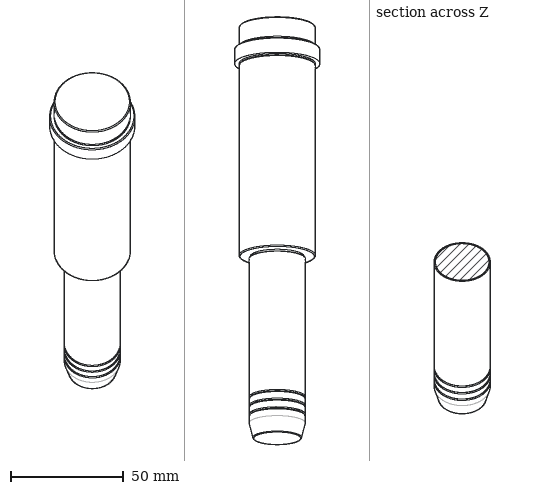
import cadquery as cq

total_length = 190.0
shoulder_height = 84.0
head_length = 10.0
collar_thickness = 7.0
collar_top = total_length - head_length
collar_bottom = collar_top - collar_thickness

collar_radius = 38.0 / 2
body_radius = 34.0 / 2
shank_radius = 25.0 / 2
nose_radius = 10.8

edge_chamfer = 0.5

nose_height = 7.0
nose_chamfer = 0.4

groove_width = 1.0
groove_depth = 0.4
lube_groove_count = 3
lube_groove_pitch = 4.0
first_lube_groove_height = 10.6

shoulder_relief_width = 1.0
shoulder_relief_depth = 0.5


def cylinder(radius, bottom, top):
    """Solid cylinder on the Z axis between two heights."""
    return cq.Workplane("XY").workplane(offset=bottom).circle(radius).extrude(top - bottom)


def revolve_about_z(outline):
    """Full revolution of a closed XZ outline about the Z axis."""
    return outline.revolve(360, (0, 0, 0), (0, 1, 0))


def v_groove(radius, middle_height):
    """Ring of triangular section that cuts a V groove into a cylinder of the given radius."""
    section = (
        cq.Workplane("XZ")
        .moveTo(radius, middle_height - groove_width / 2)
        .lineTo(radius - groove_depth, middle_height)
        .lineTo(radius, middle_height + groove_width / 2)
        .close()
    )
    return revolve_about_z(section)


def make_shank():
    """Shank with a conical lead-in and a chamfered end."""
    outline = (
        cq.Workplane("XZ")
        .lineTo(nose_radius - nose_chamfer, 0)
        .lineTo(nose_radius, nose_chamfer)
        .lineTo(shank_radius, nose_height)
        .lineTo(shank_radius, shoulder_height)
        .lineTo(0, shoulder_height)
        .close()
    )
    return revolve_about_z(outline)


def make_shoulder_relief():
    """Square-section ring removed from the shank just below the shoulder."""
    relief_bottom = shoulder_height - shoulder_relief_width
    core = cylinder(shank_radius - shoulder_relief_depth, relief_bottom, shoulder_height)
    return cylinder(shank_radius, relief_bottom, shoulder_height).cut(core)


body = cylinder(body_radius, shoulder_height, total_length).edges().chamfer(edge_chamfer)
collar = cylinder(collar_radius, collar_bottom, collar_top).faces(">Z").edges().chamfer(edge_chamfer)
result = make_shank().union(body).union(collar)

result = result.cut(make_shoulder_relief())
for relief_height in (collar_bottom - groove_width / 2, collar_top + groove_width / 2):
    result = result.cut(v_groove(body_radius, relief_height))

for index in range(lube_groove_count):
    groove_height = first_lube_groove_height + index * lube_groove_pitch
    result = result.cut(v_groove(shank_radius, groove_height))